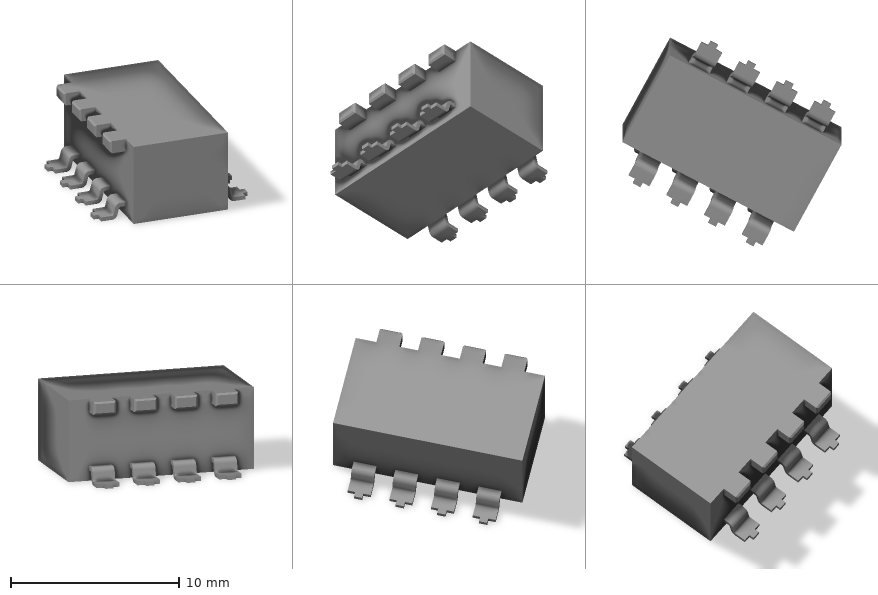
import cadquery as cq
import math

body_length = 11.56
body_width = 6.0
body_height = 4.99
standoff = 0.1

position_count = 4
pitch = 2.54

actuator_width = 1.4
actuator_height = 0.79
actuator_reach = 1.0
actuator_chamfer = 0.1

lead_width = 1.4
lead_thickness = 0.25
lead_top = 1.02
bend_inner_radius = 0.1
bend_outer_radius = bend_inner_radius + lead_thickness
upper_bend_start = 0.35
lower_bend_end = 0.9
foot_reach = 1.6
tip_width = 0.51
total_width = 9.8
lead_reach = (total_width - body_width) / 2

body_top = standoff + body_height
front_face = -body_width / 2
positions = [(i - (position_count - 1) / 2) * pitch for i in range(position_count)]


def make_body():
    return cq.Workplane("XY").box(
        body_length, body_width, body_height, centered=(True, True, False)
    ).translate((0, 0, standoff))


def make_actuator(x):
    block = cq.Workplane("XY").box(actuator_width, actuator_reach, actuator_height)
    block = block.faces("<Y").chamfer(actuator_chamfer)
    return block.translate((x, front_face - actuator_reach / 2, body_top - actuator_height / 2))


def lead_profile():
    """Side outline of a lead: X is the distance outward from the housing, Y the height."""
    upper_center = (upper_bend_start, lead_top - bend_outer_radius)
    lower_center = (lower_bend_end, bend_outer_radius)

    run = lower_center[0] - upper_center[0]
    drop = upper_center[1] - lower_center[1]
    radius_sum = bend_outer_radius + bend_inner_radius
    bend_angle = math.atan2(drop, run) + math.asin(radius_sum / math.hypot(run, drop))

    def upper_point(radius, angle):
        return (
            upper_center[0] + radius * math.sin(angle),
            upper_center[1] + radius * math.cos(angle),
        )

    def lower_point(radius, angle):
        return (
            lower_center[0] - radius * math.sin(angle),
            lower_center[1] - radius * math.cos(angle),
        )

    half_angle = bend_angle / 2
    return (
        cq.Workplane("YZ")
        .moveTo(0, lead_top)
        .lineTo(*upper_point(bend_outer_radius, 0))
        .threePointArc(
            upper_point(bend_outer_radius, half_angle), upper_point(bend_outer_radius, bend_angle)
        )
        .lineTo(*lower_point(bend_inner_radius, bend_angle))
        .threePointArc(lower_point(bend_inner_radius, half_angle), lower_point(bend_inner_radius, 0))
        .lineTo(lead_reach, lead_thickness)
        .lineTo(lead_reach, 0)
        .lineTo(*lower_point(bend_outer_radius, 0))
        .threePointArc(
            lower_point(bend_outer_radius, half_angle), lower_point(bend_outer_radius, bend_angle)
        )
        .lineTo(*upper_point(bend_inner_radius, bend_angle))
        .threePointArc(upper_point(bend_inner_radius, half_angle), upper_point(bend_inner_radius, 0))
        .lineTo(0, lead_top - lead_thickness)
        .close()
    )


def make_lead():
    """Lead centred on X = 0, leaving the rear face of the housing toward +Y."""
    strip = lead_profile().extrude(lead_width / 2, both=True)

    wide_part = cq.Workplane("XY").box(
        lead_width, foot_reach, lead_top, centered=(True, False, False)
    )
    tip_part = cq.Workplane("XY").box(
        tip_width, lead_reach, lead_top, centered=(True, False, False)
    )
    return strip.intersect(wide_part.union(tip_part)).translate((0, body_width / 2, 0))


result = make_body()
rear_lead = make_lead()
front_lead = rear_lead.mirror("XZ")
for x in positions:
    result = result.union(make_actuator(x))
    result = result.union(rear_lead.translate((x, 0, 0)))
    result = result.union(front_lead.translate((x, 0, 0)))